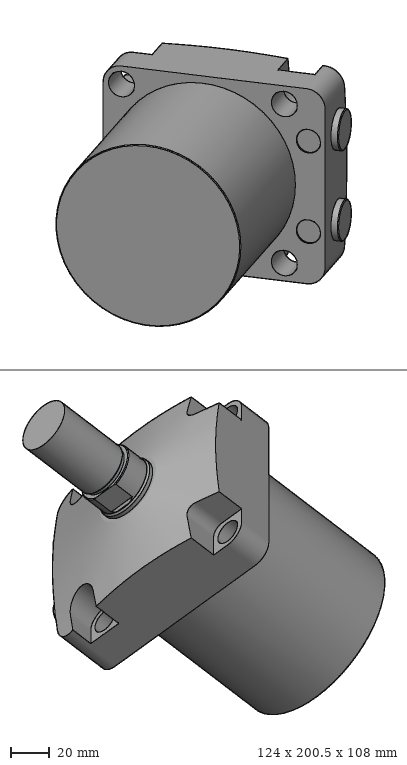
import cadquery as cq
import math

half_width = 54.0
port_side_x = 66.0
corner_radius = 10.0

barrel_radius = 50.0
barrel_length = 90.2
barrel_edge_chamfer = 0.5

cover_top_y = 48.3
cover_top_radius = 20.0
cover_slope = math.radians(15)
collar_radius = 17.8
collar_height = 3.3
collar_chamfer_height = 1.1
collar_chamfer_width = 0.8

hole_offset = 44.0
hole_diameter = 14.0
seat_y = 20.0
seat_radius = 10.0
corner_seat_radius = 6.0

port_z = 25.0
recess_x = 57.0
recess_diameter = 13.0
recess_depth = 1.1
plug_y = 20.8
plug_radius = 11.0
plug_height = 4.0
plug_chamfer = 0.5

rod_tip_y = 110.3
rod_radius = 15.0
neck_start_y = 65.3
neck_end_y = 67.7
neck_radius = 14.0
rod_chamfer = 0.5
shoulder_radius = 16.8
flat_half_distance = 15.0
flat_bottom_y = 52.8

collar_top_y = cover_top_y + collar_height
seat_inner = hole_offset - seat_radius
hole_places = [(x, z) for x in (-hole_offset, hole_offset) for z in (-hole_offset, hole_offset)]


def xz_plane(y):
    """Plane at the given Y that extrudes towards +Y; its local x is X and its local y is -Z."""
    return cq.Workplane(cq.Plane(origin=(0, y, 0), xDir=(1, 0, 0), normal=(0, 1, 0)))


def revolve_about_y(points):
    """Turn a closed (radius, y) outline about the Y axis."""
    return cq.Workplane("XY").polyline(points).close().revolve(360, (0, 0, 0), (0, 1, 0))


def make_flange():
    """Rounded block whose top is trimmed to a cone."""
    block = (
        xz_plane(0)
        .center((port_side_x - half_width) / 2, 0)
        .rect(half_width + port_side_x, 2 * half_width)
        .extrude(cover_top_y)
        .edges("|Y")
        .fillet(corner_radius)
    )
    reach = half_width + port_side_x
    edge_y = cover_top_y - (reach - cover_top_radius) * math.tan(cover_slope)
    cone = revolve_about_y(
        [(0, 0), (reach, 0), (reach, edge_y), (cover_top_radius, cover_top_y), (0, cover_top_y)]
    )
    return block.intersect(cone)


def corner_seat(side):
    """Square cut around a -X hole, open to two sides, with a rounded inner corner."""
    size = 2 * half_width
    return (
        xz_plane(seat_y)
        .center(-seat_inner - size / 2, side * (seat_inner + size / 2))
        .rect(size, size)
        .extrude(cover_top_y)
        .edges("|Y")
        .fillet(corner_seat_radius)
    )


def slot_seat(side):
    """Round-ended slot around a +X hole, open to the nearest Z side."""
    length = half_width
    return (
        xz_plane(seat_y)
        .center(hole_offset, side * (hole_offset + length / 2))
        .slot2D(length + 2 * seat_radius, 2 * seat_radius, 90)
        .extrude(cover_top_y)
    )


def make_housing():
    barrel = (
        xz_plane(-barrel_length)
        .circle(barrel_radius)
        .extrude(barrel_length)
        .faces("<Y")
        .chamfer(barrel_edge_chamfer)
    )
    collar_shoulder_y = collar_top_y - collar_chamfer_height
    collar = revolve_about_y(
        [
            (0, 0),
            (collar_radius, 0),
            (collar_radius, collar_shoulder_y),
            (collar_radius - collar_chamfer_width, collar_top_y),
            (0, collar_top_y),
        ]
    )
    body = make_flange().union(barrel).union(collar)
    for side in (-1, 1):
        body = body.cut(corner_seat(side)).cut(slot_seat(side))
    holes = xz_plane(0).pushPoints(hole_places).circle(hole_diameter / 2).extrude(cover_top_y)
    recesses = (
        xz_plane(0)
        .pushPoints([(recess_x, -port_z), (recess_x, port_z)])
        .circle(recess_diameter / 2)
        .extrude(recess_depth)
    )
    return body.cut(holes).cut(recesses)


def wrench_flat():
    """Cut for the +Z wrench flat, ending in a 45 degree run-out at its lower end."""
    depth = shoulder_radius - flat_half_distance
    outer_z = flat_half_distance + 2 * depth
    return (
        cq.Workplane("YZ")
        .moveTo(flat_bottom_y, flat_half_distance)
        .lineTo(neck_start_y, flat_half_distance)
        .lineTo(neck_start_y, outer_z)
        .lineTo(flat_bottom_y - 2 * depth, outer_z)
        .close()
        .extrude(shoulder_radius, both=True)
    )


def make_rod():
    """Rod standing on the wiper collar, with a shoulder, a neck and two wrench flats."""
    shaft = revolve_about_y(
        [
            (0, collar_top_y),
            (shoulder_radius, collar_top_y),
            (shoulder_radius, neck_start_y - rod_chamfer),
            (shoulder_radius - rod_chamfer, neck_start_y),
            (neck_radius, neck_start_y),
            (neck_radius, neck_end_y - rod_chamfer),
            (rod_radius - rod_chamfer, neck_end_y - rod_chamfer),
            (rod_radius, neck_end_y),
            (rod_radius, rod_tip_y),
            (0, rod_tip_y),
        ]
    )
    flat = wrench_flat()
    return shaft.cut(flat).cut(flat.mirror("XY"))


def make_plug(z):
    """Round port plug standing on the +X side of the flange."""
    return (
        cq.Workplane("YZ", origin=(port_side_x, plug_y, z))
        .circle(plug_radius)
        .extrude(plug_height)
        .faces(">X")
        .chamfer(plug_chamfer)
    )


housing = make_housing()
rod = make_rod()
plugs = [make_plug(z) for z in (-port_z, port_z)]

result = cq.Compound.makeCompound([housing.val(), rod.val(), *[plug.val() for plug in plugs]])